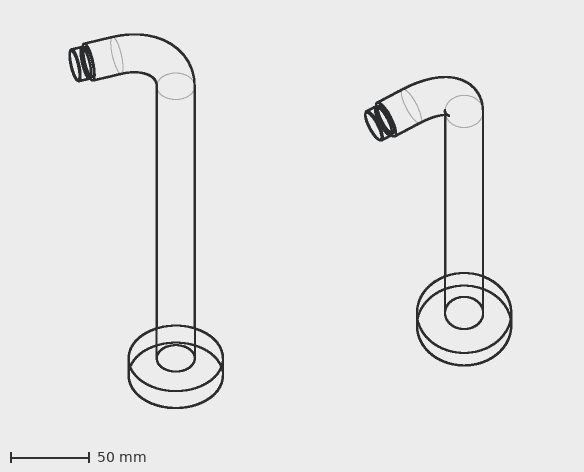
import cadquery as cq

flange_diameter = 60.0
flange_thickness = 15.0

total_height = 306.0
tube_diameter = 24.2
bend_radius = 39.5
tube_end_reach = 58.5

neck_diameter = 19.5
collar_diameter = 20.8
collar_start_reach = 60.3
outlet_reach = 68.0
collar_chamfer = 0.5

outlet_height = total_height - tube_diameter / 2
bend_start_height = outlet_height - bend_radius


def outlet_cylinder(diameter, start_reach, end_reach):
    """Cylinder on the outlet axis, between two distances along -Y."""
    plane = cq.Plane(origin=(0, -start_reach, outlet_height), xDir=(1, 0, 0), normal=(0, -1, 0))
    return cq.Workplane(plane).circle(diameter / 2).extrude(end_reach - start_reach)


def bent_tube():
    """Upright run, quarter bend and level run."""
    upright = cq.Workplane("XY").circle(tube_diameter / 2).extrude(bend_start_height)
    bend = (
        cq.Workplane("XY", origin=(0, 0, bend_start_height))
        .circle(tube_diameter / 2)
        .revolve(90, (0, -bend_radius, 0), (1, -bend_radius, 0))
    )
    level = outlet_cylinder(tube_diameter, bend_radius, tube_end_reach)
    return upright.union(bend).union(level)


flange = cq.Workplane("XY").circle(flange_diameter / 2).extrude(flange_thickness)
neck = outlet_cylinder(neck_diameter, tube_end_reach, collar_start_reach)
collar = outlet_cylinder(collar_diameter, collar_start_reach, outlet_reach)
collar = collar.faces("<Y").chamfer(collar_chamfer)

result = flange.union(bent_tube()).union(neck).union(collar)